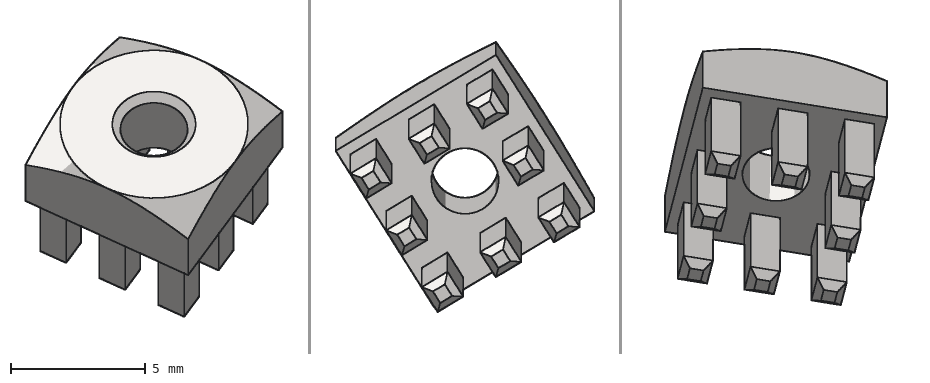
import cadquery as cq
import math

side = 7.0
block_height = 3.0
crown_angle = 30.0

hole_diameter = 2.5
countersink_size = 0.3

pin_width = 1.12
pin_length = 3.5
pin_pitch = 2.54
tip_chamfer = 0.3


def make_crowned_block():
    """Square block whose top corners are cut back by a cone tangent to its sides."""
    crown_radius = side / 2
    corner_radius = side / math.sqrt(2)
    corner_drop = (corner_radius - crown_radius) * math.tan(math.radians(crown_angle))
    block = cq.Workplane("XY").box(side, side, block_height, centered=(True, True, False))
    envelope = (
        cq.Workplane("XZ")
        .polyline([
            (0, 0),
            (corner_radius, 0),
            (corner_radius, block_height - corner_drop),
            (crown_radius, block_height),
            (0, block_height),
        ])
        .close()
        .revolve(360, (0, 0), (0, 1))
    )
    return block.intersect(envelope)


def cut_countersunk_hole(block):
    """Through hole with a countersink at the top."""
    return (
        block.faces(">Z")
        .workplane(origin=(0, 0, block_height))
        .cskHole(hole_diameter, hole_diameter + 2 * countersink_size, 90)
    )


def make_pin(x, y):
    """Square pin hanging below the block, with a chamfered tip."""
    return (
        cq.Workplane("XY")
        .center(x, y)
        .rect(pin_width, pin_width)
        .extrude(-pin_length)
        .faces("<Z")
        .chamfer(tip_chamfer)
    )


result = cut_countersunk_hole(make_crowned_block())
for column in (-1, 0, 1):
    for row in (-1, 0, 1):
        if (column, row) != (0, 0):
            result = result.union(make_pin(column * pin_pitch, row * pin_pitch))